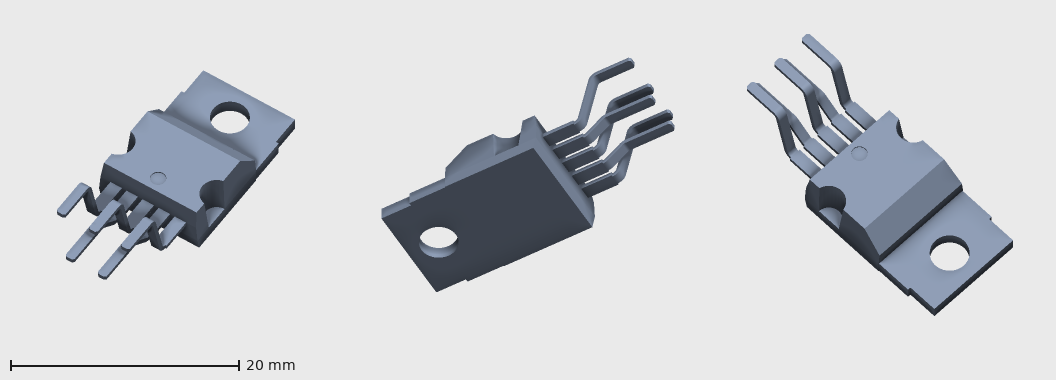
import cadquery as cq
import math


housing_width = 10.4
housing_top_width = 9.8
housing_length = 9.2
housing_height = 4.8
parting_z = 1.25
bottom_setback = 0.25
top_setback = 0.3
back_chamfer = 2.05

notch_y = 3.0
notch_top_radius = 1.52
notch_bottom_radius = 1.23
mark_y = 1.55
mark_radius = 0.72
mark_depth = 0.13

tab_length = 6.6
tab_width = 10.28
tab_thickness = 1.34
tab_end_length = 2.98
tab_end_width = 9.7
tab_hole_radius = 1.75
tab_hole_to_end = 3.0

overall_length = 25.7
overall_height = 8.5
lead_count = 5
lead_pitch = 1.7
lead_thickness = 0.44
lead_bottom_z = 2.6
lead_root_length = 3.08
lead_root_width = 1.2
lead_width = 0.93
lead_bend_radius = 0.62
lead_bend_run = 2.25
lead_tip_chamfer = 0.18
high_lead_tip_y = -8.76
low_lead_rise = 1.46

tab_end_y = housing_length + tab_length
low_lead_tip_y = tab_end_y - overall_length
lead_mid_z = lead_bottom_z + lead_thickness / 2
lead_top_z = lead_bottom_z + lead_thickness
high_lead_rise = overall_height - lead_top_z


def make_housing():
    """Molded block: side profile crossed with a front profile, then notched and marked."""
    side_profile = (
        cq.Workplane("YZ")
        .polyline([
            (bottom_setback, 0),
            (0, parting_z),
            (0, lead_top_z),
            (top_setback, housing_height),
            (housing_length - back_chamfer, housing_height),
            (housing_length, housing_height - back_chamfer),
            (housing_length, 0),
        ])
        .close()
        .extrude(housing_width / 2, both=True)
    )
    front_profile = (
        cq.Workplane("XZ")
        .polyline([
            (-housing_width / 2, 0),
            (-housing_width / 2, parting_z),
            (-housing_top_width / 2, housing_height),
            (housing_top_width / 2, housing_height),
            (housing_width / 2, parting_z),
            (housing_width / 2, 0),
        ])
        .close()
        .extrude(-housing_length)
    )
    body = side_profile.intersect(front_profile)

    for side in (-1, 1):
        notch = cq.Solid.makeCone(
            notch_bottom_radius,
            notch_top_radius,
            housing_height - parting_z,
            pnt=cq.Vector(side * housing_width / 2, notch_y, parting_z),
        )
        body = body.cut(cq.Workplane(notch))

    mark = (
        cq.Workplane(origin=(0, mark_y, housing_height))
        .circle(mark_radius)
        .extrude(-mark_depth)
    )
    return body.cut(mark).solids()


def make_tab():
    """Flat metal tab with a narrower end and a mounting hole, butted to the housing's back."""
    step_y = tab_end_y - tab_end_length
    return (
        cq.Workplane("XY")
        .polyline([
            (-tab_width / 2, housing_length),
            (-tab_width / 2, step_y),
            (-tab_end_width / 2, step_y),
            (-tab_end_width / 2, tab_end_y),
            (tab_end_width / 2, tab_end_y),
            (tab_end_width / 2, step_y),
            (tab_width / 2, step_y),
            (tab_width / 2, housing_length),
        ])
        .close()
        .moveTo(0, tab_end_y - tab_hole_to_end)
        .circle(tab_hole_radius)
        .extrude(tab_thickness)
    )


def make_lead(x, rise, tip_y):
    """Lead with a wide straight root and a narrow part that steps up by `rise` through two bends."""
    root = (
        cq.Workplane("XY")
        .box(lead_root_width, lead_root_length, lead_thickness)
        .translate((0, -lead_root_length / 2, lead_mid_z))
    )

    center_gap = 2 * lead_bend_radius
    slope = (
        math.asin(center_gap / math.hypot(lead_bend_run, center_gap - rise))
        - math.atan2(center_gap - rise, lead_bend_run)
    )
    arc_run = lead_bend_radius * math.sin(slope)
    arc_rise = lead_bend_radius * (1 - math.cos(slope))
    bend_start_y = -lead_root_length
    bend_end_y = bend_start_y - lead_bend_run
    high_z = lead_mid_z + rise

    centerline = (
        cq.Workplane("YZ")
        .moveTo(bend_start_y, lead_mid_z)
        .radiusArc((bend_start_y - arc_run, lead_mid_z + arc_rise), lead_bend_radius)
        .lineTo(bend_end_y + arc_run, high_z - arc_rise)
        .radiusArc((bend_end_y, high_z), -lead_bend_radius)
        .lineTo(tip_y, high_z)
    )
    narrow_part = (
        cq.Workplane("XZ", origin=(0, bend_start_y, lead_mid_z))
        .rect(lead_width, lead_thickness)
        .sweep(centerline)
        .faces("<Y")
        .edges("|Z")
        .chamfer(lead_tip_chamfer)
    )
    return root.union(narrow_part).translate((x, 0, 0)).solids()


def make_leads():
    """Row of leads that alternate between the high and the low shape, starting high."""
    leads = []
    for index in range(lead_count):
        x = (index - (lead_count - 1) / 2) * lead_pitch
        if index % 2 == 0:
            leads.append(make_lead(x, high_lead_rise, high_lead_tip_y))
        else:
            leads.append(make_lead(x, low_lead_rise, low_lead_tip_y))
    return leads


housing = make_housing()
tab = make_tab()
leads = make_leads()

result = cq.Compound.makeCompound([housing.val(), tab.val(), *[lead.val() for lead in leads]])